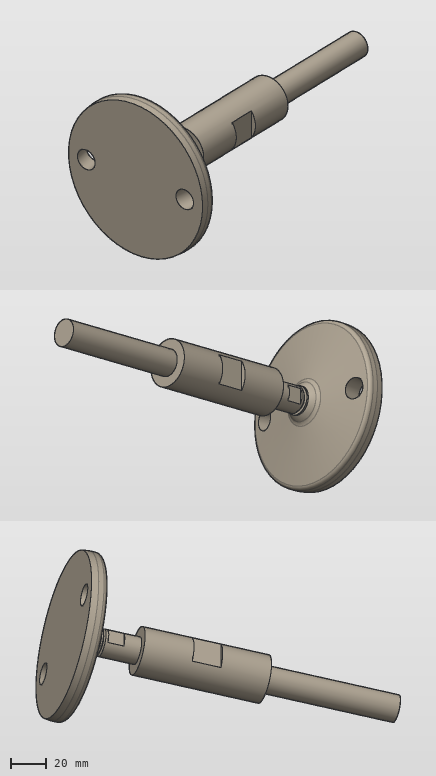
import cadquery as cq
import math


plate_radius = 49.0
sole_radius = 48.5
taper_height = 4.1
band_top = 7.3
rim_fillet = 2.5
cone_angle = 9.3

dome_radius = 14.0
dome_center = 8.6
dome_fillet = 3.5
collar_radius = 8.5
collar_top = 20.8

hole_diameter = 12.5
hole_offset = 35.6
hole_reach = 20.0

spindle_radius = 8.0
spindle_start = 22.4
spindle_end = 197.0
ball_radius = 8.0
ball_center = 16.2
neck_radius = 5.7
spindle_flat_start = 24.0
spindle_flat_length = 9.5
spindle_across_flats = 13.0

sleeve_radius = 14.0
sleeve_start = 43.5
sleeve_length = 75.0
sleeve_flat_length = 17.0
sleeve_across_flats = 22.0


def rod(radius, start, length):
    """Cylinder along Y that begins at Y = start."""
    return cq.Workplane(cq.Solid.makeCylinder(radius, length, cq.Vector(0, start, 0), cq.Vector(0, 1, 0)))


def ball():
    """Sphere at the end of the spindle, which also shapes its socket."""
    return cq.Workplane("XY").sphere(ball_radius).translate((0, ball_center, 0))


def cut_wrench_flats(body, body_radius, across_flats, start, length):
    """Cut two opposite flats that face -X and +X."""
    depth = body_radius - across_flats / 2
    for side in (-1, 1):
        cutter = cq.Workplane("XY").box(depth, length, 2 * body_radius)
        x_center = side * (across_flats + depth) / 2
        body = body.cut(cutter.translate((x_center, start + length / 2, 0)))
    return body


def make_foot():
    slope = math.radians(cone_angle)
    fillet_center_x = plate_radius - rim_fillet

    def on_fillet(angle):
        return (fillet_center_x + rim_fillet * math.cos(angle), band_top + rim_fillet * math.sin(angle))

    def on_dome(angle):
        return (dome_radius * math.cos(angle), dome_center + dome_radius * math.sin(angle))

    fillet_sweep = math.pi / 2 - slope
    cone_start = on_fillet(fillet_sweep)

    cone_distance = (
        cone_start[0] * math.sin(slope) + (cone_start[1] - dome_center) * math.cos(slope)
    )
    dome_start_angle = math.pi / 2 - slope - math.acos(cone_distance / dome_radius)
    dome_end_angle = math.acos(collar_radius / dome_radius)
    dome_middle_angle = (dome_start_angle + dome_end_angle) / 2

    foot = (
        cq.Workplane("XY")
        .lineTo(sole_radius, 0)
        .lineTo(plate_radius, taper_height)
        .lineTo(plate_radius, band_top)
        .threePointArc(on_fillet(fillet_sweep / 2), cone_start)
        .lineTo(*on_dome(dome_start_angle))
        .threePointArc(on_dome(dome_middle_angle), on_dome(dome_end_angle))
        .lineTo(collar_radius, collar_top)
        .lineTo(0, collar_top)
        .close()
        .revolve(360, (0, 0, 0), (0, 1, 0))
    )
    dome_edge_height = on_dome(dome_start_angle)[1]
    foot = foot.edges(cq.NearestToPointSelector((0, dome_edge_height, 0))).fillet(dome_fillet)
    for side in (-1, 1):
        direction = cq.Vector(side * math.sin(slope), math.cos(slope), 0)
        start = cq.Vector(side * hole_offset, 0, 0) - direction * hole_reach
        foot = foot.cut(
            cq.Workplane(cq.Solid.makeCylinder(hole_diameter / 2, 2 * hole_reach, start, direction))
        )
    return foot.cut(ball())


def make_spindle():
    neck_height = ball_center + math.sqrt(ball_radius**2 - neck_radius**2)
    neck = cq.Workplane(
        cq.Solid.makeCone(
            neck_radius, spindle_radius, spindle_start - neck_height,
            cq.Vector(0, neck_height, 0), cq.Vector(0, 1, 0),
        )
    )
    shank = rod(spindle_radius, spindle_start, spindle_end - spindle_start)
    shank = cut_wrench_flats(
        shank, spindle_radius, spindle_across_flats, spindle_flat_start, spindle_flat_length
    )
    return shank.union(neck).union(ball())


def make_sleeve():
    sleeve = rod(sleeve_radius, sleeve_start, sleeve_length)
    sleeve = sleeve.cut(rod(spindle_radius, sleeve_start, sleeve_length))
    flat_start = sleeve_start + (sleeve_length - sleeve_flat_length) / 2
    return cut_wrench_flats(sleeve, sleeve_radius, sleeve_across_flats, flat_start, sleeve_flat_length)


foot = make_foot()
spindle = make_spindle()
sleeve = make_sleeve()
result = cq.Compound.makeCompound([foot.val(), spindle.val(), sleeve.val()])